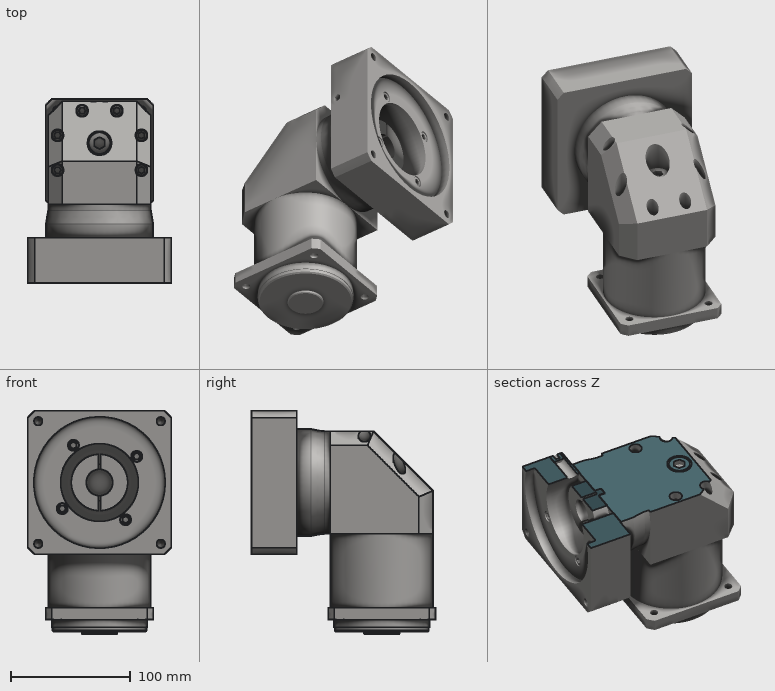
import cadquery as cq
import math


hex_sides = 6
hex_corner_turn = 180 / hex_sides

elbow_width = 86.0
elbow_half = elbow_width / 2
elbow_bevel = 50.0
elbow_chamfer = 12.0

screw_circle_radius = 38.0
screw_angles = [-22.5, 22.5, 67.5, 112.5, 157.5, 202.5]
screw_bore_radius = 5.0
screw_head_radius = 4.5
screw_head_height = 6.0
screw_seat_z = -20.0
screw_hex_width = 5.0
screw_hex_depth = 3.0

filler_y = 8.0
filler_bore_radius = 10.1
filler_radius = 9.0
filler_seat_z = 7.5
filler_height = 7.5
filler_hex_width = 8.8
filler_hex_depth = 4.7

neck_end_y = -71.0
neck_cone_start_y = -48.0
neck_cone_end_y = -59.3
neck_radius = 44.9

flange_width = 90.0
flange_corner_radius = 60.0
flange_top_z = -104.5
flange_bottom_z = -114.6
flange_hole_offset = 35.3
flange_hole_radius = 3.4
pilot_radius = 40.0
pilot_step_z = -121.0
pilot_end_radius = 39.5
pilot_end_z = -124.7
pilot_chamfer = 1.1

shaft_radius = 15.0
shaft_end_z = -127.0
shaft_top_z = flange_top_z
shaft_chamfer = 0.7

plate_width = 120.0
plate_thickness = 38.0
plate_corner_radius = 81.0
plate_front_y = neck_end_y - plate_thickness
pilot_recess_radius = 55.0
pilot_recess_depth = 8.2
plate_bore_radius = 32.5
motor_hole_offset = 51.2
motor_hole_radius = 3.5
motor_hole_depth = 20.0
drill_point_angle = 118
plate_screw_circle_radius = 38.0
plate_screw_angles = [35, 125, 215, 305]
plate_screw_bore_radius = 4.7
plate_screw_head_radius = 4.1
plate_screw_bore_depth = 6.0
plate_screw_sink = 0.7
plate_screw_hex_width = 5.0
plate_screw_hex_depth = 3.0

hub_radius = 23.5
hub_length = 13.7
hub_spigot_length = 6.0
hub_spigot_radius = 15.1
hub_bore_radius = 11.0
hub_slot_width = 1.9

access_y = neck_end_y - hub_length / 2
access_z = 17.2
access_radius = 5.2
access_plug_length = 8.0
access_hex_width = 5.8
access_hex_depth = 5.0


def cylinder_z(radius, bottom_z, top_z, x=0, y=0):
    """Upright cylinder between two heights."""
    return cq.Workplane("XY", origin=(x, y, bottom_z)).circle(radius).extrude(top_z - bottom_z)


def cylinder_y(radius, front_y, back_y, x=0, z=0):
    """Cylinder along Y between two places."""
    return cq.Workplane("XZ", origin=(x, back_y, z)).circle(radius).extrude(back_y - front_y)


def cylinder_x(radius, left_x, right_x):
    """Cylinder along X on the axis of the access hole."""
    return cq.Workplane("YZ", origin=(left_x, access_y, access_z)).circle(radius).extrude(right_x - left_x)


def corner_diameter(hex_width):
    """Diameter over the corners of a hexagon, from its width across flats."""
    return hex_width / math.cos(math.pi / hex_sides)


def socket_head_z(radius, bottom_z, height, hex_width, hex_depth, x, y, turn):
    """Upright socket head; the hexagon has corners along X before its turn about Z."""
    top_z = bottom_z + height
    socket = cq.Workplane("XY").polygon(hex_sides, corner_diameter(hex_width)).extrude(-hex_depth)
    socket = socket.rotate((0, 0, 0), (0, 0, 1), turn).translate((x, y, top_z))
    return cylinder_z(radius, bottom_z, top_z, x, y).cut(socket)


def make_elbow():
    bevel_start = elbow_half - elbow_bevel
    body = (
        cq.Workplane("YZ", origin=(-elbow_half, 0, 0))
        .moveTo(-elbow_half, -elbow_half)
        .lineTo(elbow_half, -elbow_half)
        .lineTo(elbow_half, bevel_start)
        .lineTo(bevel_start, elbow_half)
        .lineTo(-elbow_half, elbow_half)
        .close()
        .extrude(elbow_width)
    )
    outer_faces = body.faces(">Z or >Y or >(0, 1, 1)")
    side_edges = outer_faces.edges("<X or >X")
    body = side_edges.chamfer(elbow_chamfer)
    for angle in screw_angles:
        x = screw_circle_radius * math.cos(math.radians(angle))
        y = screw_circle_radius * math.sin(math.radians(angle))
        turn = hex_corner_turn if x > 0 else 0
        body = body.cut(cylinder_z(screw_bore_radius, screw_seat_z, elbow_half, x, y))
        body = body.union(socket_head_z(
            screw_head_radius, screw_seat_z, screw_head_height, screw_hex_width, screw_hex_depth,
            x, y, turn
        ))
    body = body.cut(cylinder_z(filler_bore_radius, filler_seat_z, elbow_half, 0, filler_y))
    filler = socket_head_z(
        filler_radius, filler_seat_z, filler_height, filler_hex_width, filler_hex_depth,
        0, filler_y, hex_corner_turn
    )
    return body.union(filler)


def make_input_neck():
    profile = [
        (0, -elbow_half),
        (elbow_half, -elbow_half),
        (elbow_half, neck_cone_start_y),
        (neck_radius, neck_cone_end_y),
        (neck_radius, neck_end_y),
        (0, neck_end_y),
    ]
    return cq.Workplane("XY").polyline(profile).close().revolve(360, (0, 0, 0), (0, 1, 0))


def make_output():
    cylinder = cylinder_z(elbow_half, flange_top_z, -elbow_half)
    flange = (
        cq.Workplane("XY", origin=(0, 0, flange_bottom_z))
        .rect(flange_width, flange_width)
        .extrude(flange_top_z - flange_bottom_z)
        .intersect(cylinder_z(flange_corner_radius, flange_bottom_z, flange_top_z))
        .faces("<Z").workplane(origin=(0, 0, flange_bottom_z))
        .rect(2 * flange_hole_offset, 2 * flange_hole_offset, forConstruction=True)
        .vertices().hole(2 * flange_hole_radius)
    )
    pilot = cylinder_z(pilot_radius, pilot_step_z, flange_bottom_z)
    pilot_end = cylinder_z(pilot_end_radius, pilot_end_z, pilot_step_z).faces("<Z").chamfer(pilot_chamfer)
    return cylinder.union(flange).union(pilot).union(pilot_end)


def make_gearbox():
    body = make_elbow().union(make_input_neck()).union(make_output())
    body = body.cut(cylinder_y(hub_spigot_radius, neck_end_y, neck_end_y + hub_spigot_length))
    return body.cut(cylinder_z(shaft_radius, pilot_end_z, shaft_top_z))


def motor_hole(x, z):
    """Blind hole from the plate's front, ending in a drill point."""
    tip = motor_hole_radius / math.tan(math.radians(drill_point_angle / 2))
    profile = [
        (0, 0),
        (motor_hole_radius, 0),
        (motor_hole_radius, motor_hole_depth),
        (0, motor_hole_depth + tip),
    ]
    hole = cq.Workplane("XY").polyline(profile).close().revolve(360, (0, 0, 0), (0, 1, 0))
    return hole.translate((x, plate_front_y, z))


def make_output_shaft():
    return cylinder_z(shaft_radius, shaft_end_z, shaft_top_z).faces("<Z").chamfer(shaft_chamfer)


def make_plate():
    plate = (
        cq.Workplane("XZ", origin=(0, neck_end_y, 0))
        .rect(plate_width, plate_width)
        .extrude(plate_thickness)
        .intersect(cylinder_y(plate_corner_radius, plate_front_y, neck_end_y))
    )
    floor_y = plate_front_y + pilot_recess_depth
    plate = plate.cut(cylinder_y(pilot_recess_radius, plate_front_y, floor_y))
    plate = plate.cut(cylinder_y(plate_bore_radius, floor_y, neck_end_y))
    for x in (-motor_hole_offset, motor_hole_offset):
        for z in (-motor_hole_offset, motor_hole_offset):
            plate = plate.cut(motor_hole(x, z))

    seat_y = floor_y + plate_screw_bore_depth
    head_y = floor_y + plate_screw_sink
    for angle in plate_screw_angles:
        x = plate_screw_circle_radius * math.cos(math.radians(angle))
        z = plate_screw_circle_radius * math.sin(math.radians(angle))
        socket = (
            cq.Workplane("XZ")
            .polygon(hex_sides, corner_diameter(plate_screw_hex_width))
            .extrude(-plate_screw_hex_depth)
            .rotate((0, 0, 0), (0, 1, 0), plate_screw_angles[0] - angle)
            .translate((x, head_y, z))
        )
        head = cylinder_y(plate_screw_head_radius, head_y, seat_y, x, z).cut(socket)
        plate = plate.cut(cylinder_y(plate_screw_bore_radius, floor_y, seat_y, x, z)).union(head)

    return plate.cut(cylinder_x(access_radius, -plate_width / 2, -plate_bore_radius / 2))


def make_hub():
    front_y = neck_end_y - hub_length
    spigot_end_y = neck_end_y + hub_spigot_length
    collar = cylinder_y(hub_radius, front_y, neck_end_y)
    hub = collar.union(cylinder_y(hub_spigot_radius, neck_end_y, spigot_end_y))
    hub = hub.cut(cylinder_y(hub_bore_radius, front_y, spigot_end_y))
    slot = cq.Workplane("XY").box(hub_slot_width, hub_length, 2 * hub_radius).translate((0, access_y, 0))
    return hub.cut(slot)


def make_access_plug():
    outer_x = -plate_width / 2
    socket = (
        cq.Workplane("YZ")
        .polygon(hex_sides, corner_diameter(access_hex_width))
        .extrude(access_hex_depth)
        .rotate((0, 0, 0), (1, 0, 0), hex_corner_turn)
        .translate((outer_x, access_y, access_z))
    )
    return cylinder_x(access_radius, outer_x, outer_x + access_plug_length).cut(socket)


gearbox = make_gearbox()
plate = make_plate()
hub = make_hub()
output_shaft = make_output_shaft()
access_plug = make_access_plug()

result = cq.Compound.makeCompound(
    [gearbox.val(), plate.val(), hub.val(), output_shaft.val(), access_plug.val()]
)